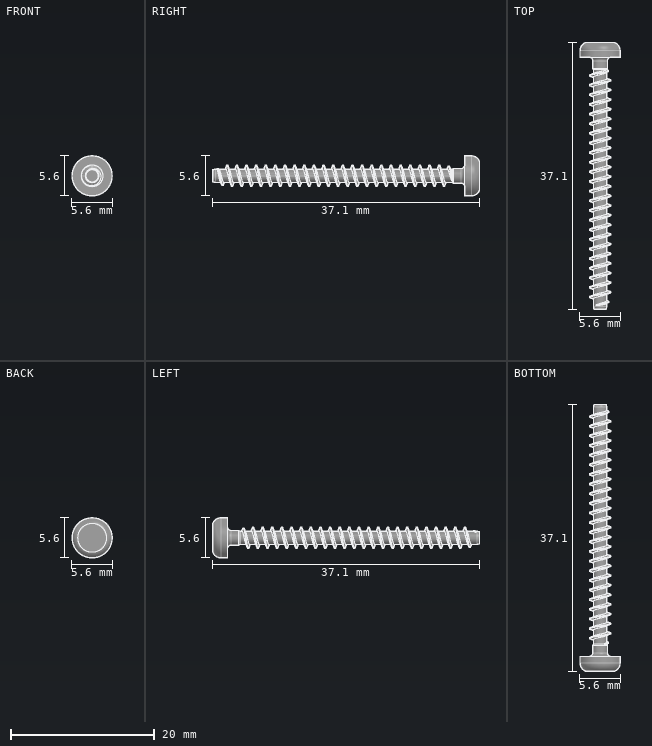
import cadquery as cq
import math

total_length = 37.1
head_radius = 2.8
head_height = 2.08
rim_height = 0.93
crown_radius = 2.0

neck_radius = 1.05
neck_fillet = 0.5
neck_length = 1.52
shoulder_length = 0.2
core_radius = 0.945
tip_radius = 0.85
tip_length = 0.37

thread_pitch = 1.34
thread_turns = 24.75
thread_crest_radius = 1.503
thread_root_radius = 0.78
thread_buried_crest = 0.8
thread_root_width = 0.55
thread_crest_width = 0.09
run_in_turns = 0.8
run_out_turns = 1.25
turns_per_piece = 0.25
points_per_piece = 4

shank_length = total_length - head_height


def make_body():
    """Head, neck and core as one solid of revolution about Y."""
    fillet_mid = neck_fillet * (1 - math.sqrt(0.5))
    profile = (
        cq.Workplane("XY")
        .moveTo(0, -shank_length)
        .lineTo(tip_radius, -shank_length)
        .lineTo(core_radius, -shank_length + tip_length)
        .lineTo(core_radius, -neck_length - shoulder_length)
        .lineTo(neck_radius, -neck_length)
        .lineTo(neck_radius, -neck_fillet)
        .threePointArc((neck_radius + fillet_mid, -fillet_mid), (neck_radius + neck_fillet, 0))
        .lineTo(head_radius, 0)
        .lineTo(head_radius, rim_height)
        .tangentArcPoint((crown_radius, head_height), relative=False)
        .lineTo(0, head_height)
        .close()
    )
    return profile.revolve(360, (0, 0, 0), (0, 1, 0)).val()


def crest_radius_at(turn):
    """Crest radius along the thread, rising and falling smoothly at its ends."""
    share = min(1, turn / run_in_turns, (thread_turns - turn) / run_out_turns)
    height = math.sin(share * math.pi / 2)
    return thread_buried_crest + (thread_crest_radius - thread_buried_crest) * height


def root_radius_at(turn):
    """The thread root stays at one radius, hidden inside the core."""
    return thread_root_radius


def helix_edge(radius_at, axial_offset, first_turn):
    """Piece of a helix about Y that starts at -Z and advances towards the tip."""
    points = []
    for index in range(points_per_piece + 1):
        turn = first_turn + turns_per_piece * index / points_per_piece
        angle = 2 * math.pi * turn
        radius = radius_at(turn)
        y = -neck_length - thread_pitch * turn + axial_offset
        points.append(cq.Vector(radius * math.sin(angle), y, -radius * math.cos(angle)))
    return cq.Edge.makeSpline(points)


def thread_edges(first_turn):
    """The four corner edges of one piece of the trapezoidal thread."""
    return [
        helix_edge(root_radius_at, thread_root_width / 2, first_turn),
        helix_edge(crest_radius_at, thread_crest_width / 2, first_turn),
        helix_edge(crest_radius_at, -thread_crest_width / 2, first_turn),
        helix_edge(root_radius_at, -thread_root_width / 2, first_turn),
    ]


def end_cap(corners):
    return cq.Face.makeFromWires(cq.Wire.makePolygon(corners, close=True))


def make_thread():
    """Trapezoidal ridge: four helical faces per piece and a flat cap at each end."""
    piece_count = round(thread_turns / turns_per_piece)
    pieces = [thread_edges(index * turns_per_piece) for index in range(piece_count)]
    faces = [
        end_cap([edge.startPoint() for edge in pieces[0]]),
        end_cap([edge.endPoint() for edge in pieces[-1]]),
    ]
    for edges in pieces:
        for edge, next_edge in zip(edges, edges[1:] + edges[:1]):
            faces.append(cq.Face.makeRuledSurface(edge, next_edge))
    return cq.Solid.makeSolid(cq.Shell.makeShell(faces))


result = cq.Workplane(make_body()).union(cq.Workplane(make_thread()), clean=False)